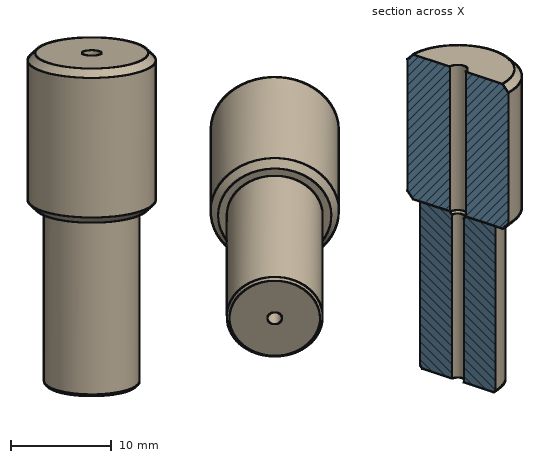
import cadquery as cq

total_height = 34.1
shank_height = 18.2
head_height = total_height - shank_height

head_diameter = 12.7
head_chamfer = 0.75
head_bore_diameter = 1.95

shank_diameter = 9.5
shank_chamfer = 0.27
shank_bore_diameter = 1.43
countersink_angle = 90.0


def make_head():
    """Wide upper cylinder, chamfered at both ends, with a central through bore."""
    return (
        cq.Workplane("XY", origin=(0, 0, shank_height))
        .circle(head_diameter / 2)
        .extrude(head_height)
        .edges("%CIRCLE")
        .chamfer(head_chamfer)
        .faces(">Z")
        .workplane()
        .hole(head_bore_diameter)
    )


def make_shank():
    """Narrow lower cylinder whose bore is countersunk to meet the head bore."""
    return (
        cq.Workplane("XY")
        .circle(shank_diameter / 2)
        .extrude(shank_height)
        .faces("<Z")
        .edges()
        .chamfer(shank_chamfer)
        .faces(">Z")
        .workplane()
        .cskHole(shank_bore_diameter, head_bore_diameter, countersink_angle)
    )


head = make_head()
shank = make_shank()

result = cq.Compound.makeCompound([head.val(), shank.val()])